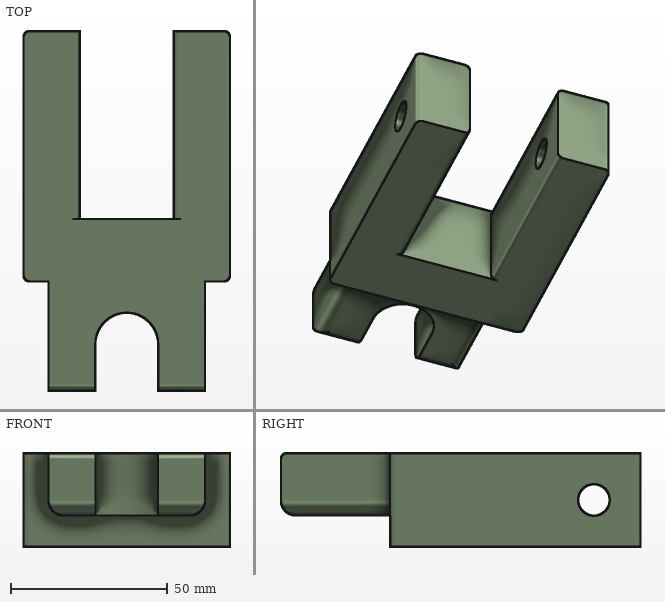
import cadquery as cq

total_length = 115.0
body_width = 66.0
height = 30.0
edge_radius = 2.0

tongue_length = 35.0
tongue_width = 50.0
tongue_thickness = 20.0
tongue_bottom_radius = 5.0
notch_width = 20.0
notch_center_from_front = 15.0

fork_gap = 30.0
fork_depth = 60.0
pin_diameter = 10.0
pin_from_back = 15.0

body_length = total_length - tongue_length
fork_root = total_length - fork_depth
tongue_bottom = height - tongue_thickness


def block(width, start_y, length, bottom, thickness):
    """Box centred on X, placed by its front face and its underside."""
    return (
        cq.Workplane("XY")
        .box(width, length, thickness, centered=(True, False, False))
        .translate((0, start_y, bottom))
    )


def make_body():
    body = block(body_width, tongue_length, body_length, 0, height).edges("|Z").fillet(edge_radius)
    gap = block(fork_gap, fork_root, fork_depth, 0, height)
    forked = body.cut(gap)
    middle = fork_root + fork_depth / 2
    for side in (-1, 1):
        for level in (0, height):
            edge_point = (side * fork_gap / 2, middle, level)
            forked = forked.edges(cq.NearestToPointSelector(edge_point)).fillet(edge_radius)
    pin_hole = (
        cq.Workplane("YZ")
        .center(total_length - pin_from_back, height / 2)
        .circle(pin_diameter / 2)
        .extrude(body_width, both=True)
    )
    return forked.cut(pin_hole)


def make_tongue():
    tongue = block(tongue_width, 0, tongue_length, tongue_bottom, tongue_thickness)
    tongue = tongue.faces("<Z").edges("|Y or <Y").fillet(tongue_bottom_radius)
    tongue = tongue.faces(">Z").edges("<Y").fillet(edge_radius)
    notch_end = (
        cq.Workplane("XY")
        .center(0, notch_center_from_front)
        .circle(notch_width / 2)
        .extrude(height)
    )
    notch = block(notch_width, 0, notch_center_from_front, 0, height).union(notch_end)
    return tongue.cut(notch)


result = make_body().union(make_tongue())